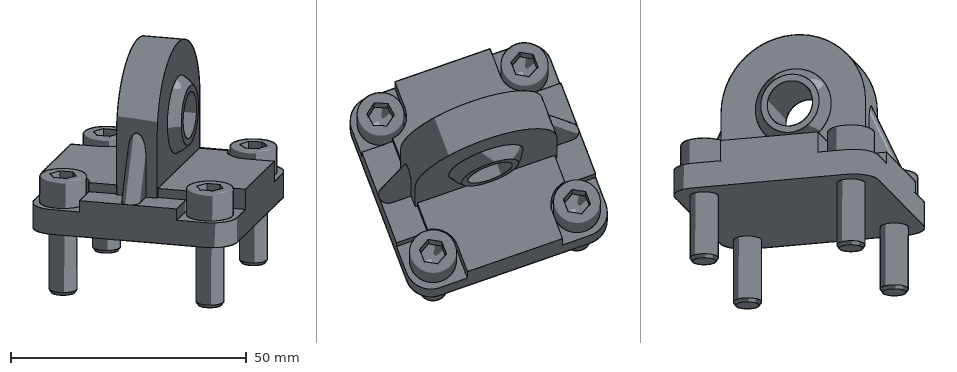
import cadquery as cq
import math

PLATE_SIZE = 45.0
PLATE_CORNER_RADIUS = 5.5
PAD_HEIGHT = 10.0
SHELF_HEIGHT = 8.0
SHELF_INNER_Y = 15.5
SEAT_HEIGHT = 5.5
SEAT_RADIUS = 5.5
SCREW_SPACING = 32.5

LUG_THICKNESS = 9.0
LUG_RADIUS = 16.0
EYE_HEIGHT = 22.0

BALL_DIAMETER = 19.05
BALL_WIDTH = 14.0
BORE_DIAMETER = 10.0

RIB_WIDTH = 4.0
RIB_EMBED = 1.0

SCREW_DIAMETER = 6.0
SCREW_HEAD_DIAMETER = 10.0
SCREW_HEAD_HEIGHT = 6.0
SCREW_LENGTH = 20.0
HEAD_EDGE_RADIUS = 0.5
TIP_CHAMFER_RADIAL = 0.5
TIP_CHAMFER_LENGTH = 0.75
SOCKET_FLATS = 5.0
SOCKET_DEPTH = 3.0
SOCKET_CONE_ANGLE = 120.0
TURNED_SOCKET_ANGLE = 8.0

HALF_PLATE = PLATE_SIZE / 2
HALF_SPACING = SCREW_SPACING / 2
SIDES = (-1, 1)
CORNERS = [(x_side, y_side) for x_side in SIDES for y_side in SIDES]


def make_seat_cutter(x_side, y_side):
    """Corner pocket: square to the plate edges, rounded about the screw axis."""
    inner = HALF_SPACING - SEAT_RADIUS
    length = PLATE_SIZE - inner
    depth = PAD_HEIGHT - SEAT_HEIGHT
    center = inner + length / 2
    pocket = cq.Workplane("XY").box(length, length, depth, centered=(True, True, False))
    pocket = pocket.edges("|Z").fillet(SEAT_RADIUS)
    return pocket.translate((x_side * center, y_side * center, SEAT_HEIGHT))


def make_plate():
    plate = cq.Workplane("XY").box(PLATE_SIZE, PLATE_SIZE, PAD_HEIGHT, centered=(True, True, False))
    plate = plate.edges("|Z").fillet(PLATE_CORNER_RADIUS)

    shelf_length = HALF_PLATE - SHELF_INNER_Y
    shelf_depth = PAD_HEIGHT - SHELF_HEIGHT
    for y_side in SIDES:
        shelf = cq.Workplane("XY").box(PLATE_SIZE, shelf_length, shelf_depth, centered=(True, True, False))
        plate = plate.cut(shelf.translate((0, y_side * (SHELF_INNER_Y + shelf_length / 2), SHELF_HEIGHT)))

    for x_side, y_side in CORNERS:
        plate = plate.cut(make_seat_cutter(x_side, y_side))
    return plate


def make_lug():
    """Round-topped lug standing in the plate, down to the seat level."""
    return (
        cq.Workplane("YZ")
        .moveTo(-LUG_RADIUS, SEAT_HEIGHT)
        .lineTo(-LUG_RADIUS, EYE_HEIGHT)
        .threePointArc((0, EYE_HEIGHT + LUG_RADIUS), (LUG_RADIUS, EYE_HEIGHT))
        .lineTo(LUG_RADIUS, SEAT_HEIGHT)
        .close()
        .extrude(LUG_THICKNESS / 2, both=True)
    )


def make_bearing():
    """Solid ball about the eye axis, cut flat at both ends."""
    ball_radius = BALL_DIAMETER / 2
    half_width = BALL_WIDTH / 2
    flat_radius = math.sqrt(ball_radius**2 - half_width**2)
    ball = (
        cq.Workplane("XY")
        .moveTo(-half_width, 0)
        .lineTo(-half_width, flat_radius)
        .threePointArc((0, ball_radius), (half_width, flat_radius))
        .lineTo(half_width, 0)
        .close()
        .revolve(360, (0, 0, 0), (1, 0, 0))
    )
    return ball.translate((0, 0, EYE_HEIGHT))


def make_rib():
    """Rib on the +Y side; its crest falls from the eye height to the plate edge."""
    run = HALF_PLATE - LUG_RADIUS
    rise = EYE_HEIGHT - SHELF_HEIGHT
    slope_length = math.hypot(run, rise)
    crest_radius = RIB_WIDTH / 2
    axis = cq.Vector(0, run, -rise).normalized()
    outward = cq.Vector(0, rise, run).normalized()
    middle = cq.Vector(0, LUG_RADIUS + run / 2, SHELF_HEIGHT + rise / 2)

    bar_length = 2 * slope_length
    bar_depth = slope_length
    start = middle - outward * crest_radius - axis * (bar_length / 2)
    section = cq.Workplane(cq.Plane(origin=start, xDir=(-1, 0, 0), normal=axis))
    bar = (
        section
        .moveTo(-crest_radius, -bar_depth)
        .lineTo(-crest_radius, 0)
        .threePointArc((0, crest_radius), (crest_radius, 0))
        .lineTo(crest_radius, -bar_depth)
        .close()
        .extrude(bar_length)
    )

    trim_length = HALF_PLATE - LUG_RADIUS + RIB_EMBED
    trim_bottom = SHELF_HEIGHT - RIB_EMBED
    envelope = cq.Workplane("XY").box(2 * RIB_WIDTH, trim_length, bar_length, centered=(True, True, False))
    envelope = envelope.translate((0, HALF_PLATE - trim_length / 2, trim_bottom))
    return bar.intersect(envelope)


def make_screw(socket_angle):
    """Socket head screw with the underside of its head at the origin."""
    head = cq.Workplane("XY").circle(SCREW_HEAD_DIAMETER / 2).extrude(SCREW_HEAD_HEIGHT)
    head = head.faces(">Z").edges().fillet(HEAD_EDGE_RADIUS)
    shank = cq.Workplane("XY").circle(SCREW_DIAMETER / 2).extrude(-SCREW_LENGTH)
    shank = shank.faces("<Z").chamfer(TIP_CHAMFER_LENGTH, TIP_CHAMFER_RADIAL)

    corner_radius = SOCKET_FLATS / 2 / math.cos(math.pi / 6)
    cone_slope = math.tan(math.radians(SOCKET_CONE_ANGLE / 2))
    apex = SCREW_HEAD_HEIGHT - SOCKET_DEPTH - corner_radius / cone_slope
    socket_height = SCREW_HEAD_HEIGHT - apex
    hexagon = cq.Workplane("XY").polygon(6, 2 * corner_radius).extrude(socket_height)
    cone = cq.Workplane(cq.Solid.makeCone(0, socket_height * cone_slope, socket_height))
    socket = hexagon.intersect(cone).translate((0, 0, apex))
    socket = socket.rotate((0, 0, 0), (0, 0, 1), socket_angle)
    return head.union(shank).cut(socket)


rib = make_rib()
result = make_plate().union(make_lug()).union(make_bearing())
result = result.union(rib).union(rib.mirror("XZ"))

bore = cq.Workplane("YZ").center(0, EYE_HEIGHT).circle(BORE_DIAMETER / 2).extrude(BALL_WIDTH, both=True)
result = result.cut(bore)

for x_side, y_side in CORNERS:
    turned = x_side > 0 and y_side > 0
    screw = make_screw(TURNED_SOCKET_ANGLE if turned else 0)
    screw = screw.translate((x_side * HALF_SPACING, y_side * HALF_SPACING, SEAT_HEIGHT))
    result = result.union(screw)